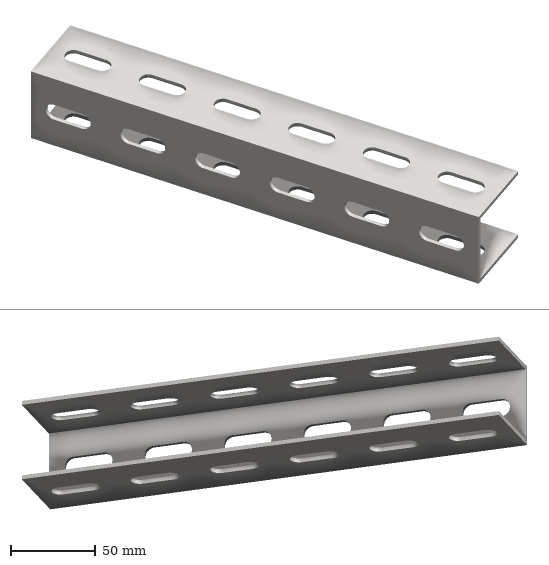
import cadquery as cq

length = 300.0
side = 50.0
thickness = 2.5

slot_count = 6
slot_length = 30.0
slot_width = 11.0
slot_pitch = length / slot_count


def slot_row(plane):
    """Row of slots along X, cutting through the whole section."""
    return (
        cq.Workplane(plane)
        .rarray(slot_pitch, 3, slot_count, 1)
        .slot2D(slot_length, slot_width)
        .extrude(side, both=True)
    )


outer = cq.Workplane("XY").box(length, side, side)
cavity = (
    cq.Workplane("XY")
    .box(length, side, side - 2 * thickness)
    .translate((0, thickness, 0))
)
channel = outer.cut(cavity)

web_slots = slot_row("XZ")
flange_slots = slot_row("XY")
result = channel.cut(web_slots).cut(flange_slots)